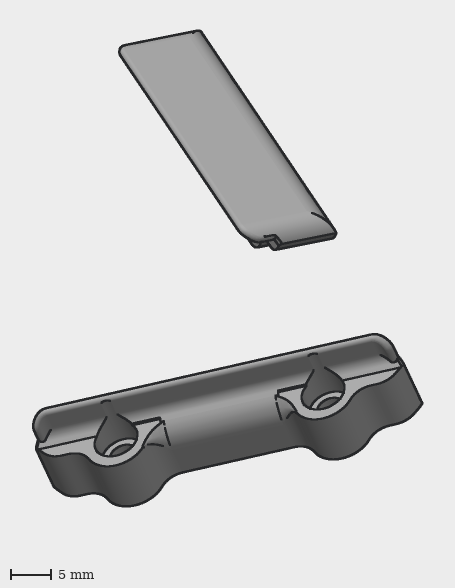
import cadquery as cq
import math


length = 48.06
width = 12.07
height = 8.35
crown_radius = 2.95
crown_center_x = 21.2
half_length = length / 2

bracket_depth = 7.55
rail_bottom = -4.55
end_slope = math.radians(50)
blend_radius = 3.0
front_y = -bracket_depth

hole_x = 13.5
hole_z = -3.9
hole_diameter = 3.56
counterbore_diameter = 5.59
counterbore_depth = 3.0
lobe_radius = 4.0
lobe_z = lobe_radius - height

lip_thickness = 1.18
rim_radius = 0.498 * lip_thickness
rim_angle = math.radians(29.7)
bend_radius = crown_radius - lip_thickness
bend_reach = bend_radius * math.cos(rim_angle)
lip_corner_depth = 2.29
seam_tolerance = 0.01
lip_root_y = -bracket_depth / 2

web_slope = math.radians(30)
band_top = -2.0
band_bottom = -2.6
tab_top = -2.1
tab_inner_x = 7.7
web_end_x = 23.4
end_bevel_back = 0.25
end_bevel_front = 0.5
web_radius = (-lip_thickness - band_top) / (1 - math.sin(web_slope))

rail_round_height = band_bottom - rail_bottom
rail_round_radius = rail_round_height / (1 - math.sin(web_slope))
fade_steps = 4
fade_power = 1.6
fade_end = 0.06
cutter_margin = 0.4

blend_z = rail_bottom - blend_radius
blend_offset = math.sqrt((lobe_radius + blend_radius) ** 2 - (lobe_z - blend_z) ** 2)
lobe_share = lobe_radius / (lobe_radius + blend_radius)
tangent_offset = blend_offset * lobe_share
tangent_z = lobe_z + (blend_z - lobe_z) * lobe_share
blend_sweep = math.atan2(blend_offset - tangent_offset, tangent_z - blend_z)


def circle_point(center_x, center_z, radius, angle):
    """Point on a circle, with the angle in radians from horizontal."""
    return (center_x + radius * math.cos(angle), center_z + radius * math.sin(angle))


def bracket_outline():
    """Half of the end-to-end outline in XZ, from the centre plane out to +X."""
    tip_z = -crown_radius + math.sqrt(crown_radius**2 - (half_length - crown_center_x) ** 2)
    tip_angle = math.atan2(tip_z + crown_radius, half_length - crown_center_x)
    tip_rise = tip_z - rail_bottom
    corner_x = half_length - tip_rise / math.tan(end_slope)
    tangent_length = blend_radius * math.tan(end_slope / 2)
    round_x = corner_x - tangent_length
    round_z = rail_bottom + blend_radius
    down = -math.pi / 2
    inner_blend_x = hole_x - blend_offset
    outer_blend_x = hole_x + blend_offset
    up = math.pi / 2
    return (
        cq.Workplane("XZ")
        .moveTo(0, 0)
        .lineTo(crown_center_x, 0)
        .threePointArc(
            circle_point(crown_center_x, -crown_radius, crown_radius, (up + tip_angle) / 2),
            (half_length, tip_z),
        )
        .lineTo(*circle_point(round_x, round_z, blend_radius, down + end_slope))
        .threePointArc(
            circle_point(round_x, round_z, blend_radius, down + end_slope / 2),
            (round_x, rail_bottom),
        )
        .lineTo(outer_blend_x, rail_bottom)
        .threePointArc(
            circle_point(outer_blend_x, blend_z, blend_radius, up + blend_sweep / 2),
            (hole_x + tangent_offset, tangent_z),
        )
        .threePointArc((hole_x, -height), (hole_x - tangent_offset, tangent_z))
        .threePointArc(
            circle_point(inner_blend_x, blend_z, blend_radius, up - blend_sweep / 2),
            (inner_blend_x, rail_bottom),
        )
        .lineTo(0, rail_bottom)
        .close()
    )


def mirrored(half):
    """The given half joined with its mirror image across the centre plane."""
    return half.union(half.mirror("YZ"))


def side_profile():
    """YZ section of bracket and web: crowned back, plain front, web under the lip."""
    band_y = front_y - (band_top - band_bottom) * math.tan(web_slope)
    web_y = band_y - web_radius * math.cos(web_slope)
    web_center_z = -lip_thickness - web_radius
    mid_angle = (math.pi / 2 + web_slope) / 2
    web_mid = circle_point(web_y, web_center_z, web_radius, mid_angle)
    crown_mid = circle_point(-crown_radius, -crown_radius, crown_radius, math.pi / 4)
    return (
        cq.Workplane("YZ")
        .moveTo(0, -height)
        .lineTo(0, -crown_radius)
        .threePointArc(crown_mid, (-crown_radius, 0))
        .lineTo(front_y, 0)
        .lineTo(front_y, -rim_radius)
        .lineTo(web_y, -rim_radius)
        .lineTo(web_y, -lip_thickness)
        .threePointArc(web_mid, (band_y, band_top))
        .lineTo(front_y, band_bottom)
        .lineTo(front_y, -height)
        .close()
    )


def make_body():
    outline = mirrored(bracket_outline().extrude(width))
    return outline.intersect(side_profile().extrude(half_length, both=True))


def make_lip_end():
    """Bent end of the lip at +X, square-edged, with an elliptical front corner in plan."""
    axis_point = cq.Vector(crown_center_x, 0, -crown_radius)
    bend = cq.Solid.makeCylinder(bend_radius, width, axis_point, cq.Vector(0, -1, 0))
    bend_face = cq.Workplane(obj=bend).faces("%CYLINDER").val()
    corner_y = lip_corner_depth - width
    plan = (
        cq.Workplane("XY", origin=(crown_center_x, corner_y, -crown_radius))
        .moveTo(0, lip_root_y - corner_y)
        .lineTo(0, -lip_corner_depth)
        .ellipseArc(bend_reach, lip_corner_depth, 270, 360, sense=1)
        .lineTo(bend_reach, lip_root_y - corner_y)
        .close()
        .extrude(crown_radius)
    )
    trimmed = bend_face.intersect(plan.val()).Faces()[0]
    return cq.Workplane(obj=trimmed.thicken(lip_thickness))


def make_lip():
    """Flat lip with bent ends; the free edges are rounded over the full thickness."""
    plate = (
        cq.Workplane("XY")
        .box(2 * crown_center_x, lip_root_y + width, lip_thickness, centered=(True, False, False))
        .translate((0, -width, -lip_thickness))
    )
    end = make_lip_end()
    lip = plate.union(end).union(end.mirror("YZ"))
    longest_seam = lip_thickness + seam_tolerance
    border_edges = lip.faces("<Y or <X or >X or %BSPLINE").edges().vals()
    rim_edges = [edge for edge in border_edges if edge.Length() > longest_seam]
    return lip.newObject(rim_edges).fillet(rim_radius)


def rail_section(plane, scale):
    """Section of the rail rounding cutter; local x runs up from the underside, y to the back."""
    top = rail_round_height * scale
    back = rail_round_radius * math.cos(web_slope) * scale
    mid_angle = (math.pi / 2 + web_slope) / 2
    mid_up = rail_round_radius * (1 - math.sin(mid_angle)) * scale
    mid_back = back - rail_round_radius * math.cos(mid_angle) * scale
    return (
        cq.Workplane(plane)
        .moveTo(top, 0)
        .threePointArc((mid_up, mid_back), (0, back))
        .lineTo(-cutter_margin, back)
        .lineTo(-cutter_margin, -cutter_margin)
        .lineTo(top, -cutter_margin)
        .close()
    )


def make_rail_cutter():
    """Half of the rail rounding: full size at mid span, fading out along the lobe blend."""
    blend_x = hole_x - blend_offset
    wires = []
    for step in range(fade_steps + 1):
        share = step / fade_steps
        angle = math.pi / 2 - blend_sweep * share
        x, z = circle_point(blend_x, blend_z, blend_radius, angle)
        up_dir = cq.Vector(math.cos(angle), 0, math.sin(angle))
        plane = cq.Plane((x, front_y, z), up_dir, up_dir.cross(cq.Vector(0, 1, 0)))
        scale = fade_end + (1 - fade_end) * (1 - share) ** fade_power
        wires.append(rail_section(plane, scale).wires().val())
    fade = cq.Workplane(obj=cq.Solid.makeLoft(wires))
    middle_plane = cq.Plane((0, front_y, rail_bottom), (0, 0, 1), (-1, 0, 0))
    straight = rail_section(middle_plane, 1).extrude(-blend_x)
    return straight.union(fade)


def make_tab_relief():
    """Clears the sloping web in front of the flat tab on the inner side of the lobe."""
    return cq.Workplane("XY").box(
        hole_x - tab_inner_x, bracket_depth, height, centered=False
    ).translate((tab_inner_x, front_y - bracket_depth, tab_top - height))


def make_end_relief():
    """Trims the web at the +X end back to the lip, with a bevel at the bracket face."""
    return (
        cq.Workplane("XY")
        .moveTo(half_length, front_y + end_bevel_back)
        .lineTo(web_end_x, front_y - end_bevel_front)
        .lineTo(web_end_x, -width)
        .lineTo(half_length, -width)
        .close()
        .extrude(-height)
    )


def make_screw_hole():
    """Through hole with a counterbore that also clears the web and lip ahead of it."""
    hole = cq.Workplane("XZ", origin=(hole_x, 0, hole_z)).circle(hole_diameter / 2).extrude(width)
    counterbore = (
        cq.Workplane("XZ", origin=(hole_x, front_y + counterbore_depth, hole_z))
        .circle(counterbore_diameter / 2)
        .extrude(width)
    )
    return hole.union(counterbore)


result = make_body()
for make_cutter in (make_rail_cutter, make_tab_relief, make_end_relief):
    cutter = make_cutter()
    result = result.cut(cutter).cut(cutter.mirror("YZ"))
result = result.union(make_lip())
screw_hole = make_screw_hole()
result = result.cut(screw_hole).cut(screw_hole.mirror("YZ"))